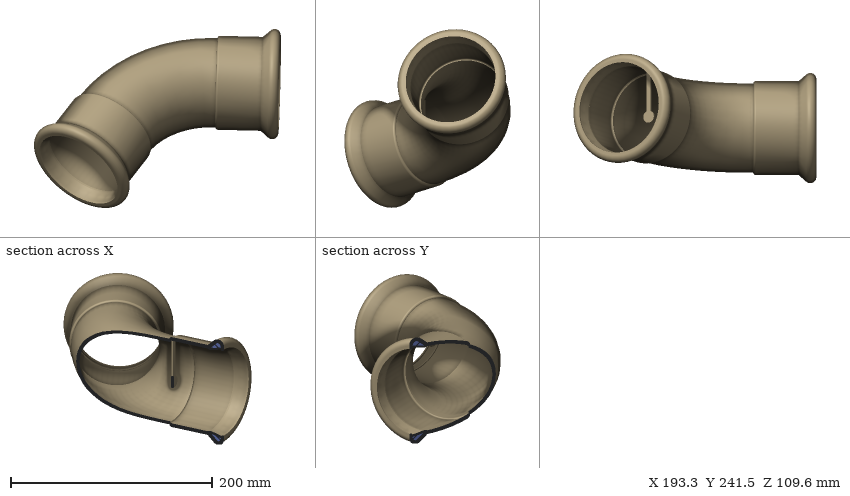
import cadquery as cq
import math

bend_angle = 60.0
bend_radius = 113.7
end_length = 65.2

tube_radius = 88.8 / 2
tube_bore_radius = 86.0 / 2

socket_radius = 93.5 / 2
socket_bore_radius = 89.5 / 2
wall = socket_radius - socket_bore_radius
neck_round = socket_radius - tube_radius
neck_depth = 62.5
stop_round = socket_bore_radius - tube_bore_radius
stop_depth = neck_depth - stop_round

mouth_radius = 91.0 / 2
bead_center_radius = 48.8
bead_round = 6.0
bead_depth = 17.6
groove_depth = 17.0
groove_round = bead_round - wall
seal_bore_radius = 87.9 / 2
seal_front_radius = 46.8
seal_land = 2.0

marker_disc_radius = 6.0
marker_stem_width = 4.5
marker_thickness = 2.0
wall_overlap = wall / 2


def add_bead(sketch, round_radius, cylinder_radius, cone_end):
    """Continue from the front of the bead: arc, then a tangent cone to a cylinder."""
    dr = cylinder_radius - bead_center_radius
    dy = cone_end - bead_round
    tangent_angle = math.atan2(dy, dr) - math.acos(round_radius / math.hypot(dr, dy))

    def on_arc(angle):
        return (
            bead_center_radius + round_radius * math.cos(angle),
            bead_round + round_radius * math.sin(angle),
        )

    middle_angle = (tangent_angle - math.pi / 2) / 2
    return sketch.threePointArc(on_arc(middle_angle), on_arc(tangent_angle)).lineTo(cylinder_radius, cone_end)


def revolve_about_y(profile):
    return profile.close().revolve(360, (0, 0, 0), (0, 1, 0))


def place_at_outlet(body):
    """Turn a body at the inlet mouth round to the mouth at the other end."""
    mid_height = end_length + bend_radius * math.tan(math.radians(bend_angle / 2))
    return body.rotate((0, mid_height, 0), (0, mid_height, 1), 180 - bend_angle)


def make_socket_outside():
    profile = cq.Workplane("XY").lineTo(bead_center_radius, 0)
    profile = add_bead(profile, bead_round, socket_radius, bead_depth)
    profile = (
        profile.lineTo(socket_radius, neck_depth - neck_round)
        .radiusArc((tube_radius, neck_depth), -neck_round)
        .lineTo(tube_radius, end_length)
        .lineTo(0, end_length)
    )
    return revolve_about_y(profile)


def make_socket_cavity():
    profile = cq.Workplane("XY").lineTo(mouth_radius, 0).lineTo(mouth_radius, wall)
    profile = profile.lineTo(bead_center_radius, wall)
    profile = add_bead(profile, groove_round, socket_bore_radius, groove_depth)
    profile = (
        profile.lineTo(socket_bore_radius, stop_depth)
        .radiusArc((tube_bore_radius, neck_depth), -stop_round)
        .lineTo(tube_bore_radius, end_length)
        .lineTo(0, end_length)
    )
    return revolve_about_y(profile)


def make_bend(radius):
    return (
        cq.Workplane("XZ", origin=(0, end_length, 0))
        .circle(radius)
        .revolve(bend_angle, (bend_radius, 0, 0), (bend_radius, -1, 0))
    )


def make_marker():
    plane = cq.Workplane("XZ", origin=(0, stop_depth, 0))
    stem_length = socket_bore_radius + wall_overlap
    disc = plane.circle(marker_disc_radius).extrude(marker_thickness)
    stem = plane.center(0, stem_length / 2).rect(marker_stem_width, stem_length).extrude(marker_thickness)
    return disc.union(stem)


def make_fitting():
    outside = make_socket_outside()
    cavity = make_socket_cavity()
    fitting = make_bend(tube_radius).union(outside).union(place_at_outlet(outside))
    fitting = fitting.cut(make_bend(tube_bore_radius)).cut(cavity).cut(place_at_outlet(cavity))
    return fitting.union(make_marker())


def make_seal():
    """Ring that fills the groove, with a bore tapering inwards from the mouth to a short land."""
    profile = cq.Workplane("XY").moveTo(seal_front_radius, wall).lineTo(bead_center_radius, wall)
    profile = add_bead(profile, groove_round, socket_bore_radius, groove_depth)
    profile = profile.lineTo(seal_bore_radius, groove_depth)
    return revolve_about_y(profile.lineTo(seal_bore_radius, groove_depth - seal_land))


fitting = make_fitting()
inlet_seal = make_seal()
seals = [inlet_seal, place_at_outlet(inlet_seal)]

result = cq.Compound.makeCompound([fitting.val(), *[seal.val() for seal in seals]])